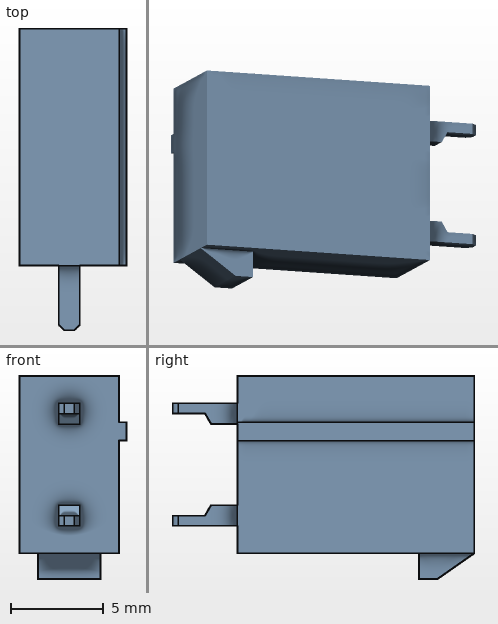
import cadquery as cq

HOUSING_WIDTH = 5.4
HOUSING_LENGTH = 12.8
HOUSING_HEIGHT = 9.6

RIB_DEPTH = 0.4
RIB_HEIGHT = 1.0
RIB_TOP_GAP = 2.5

LATCH_WIDTH = 3.4
LATCH_LENGTH = 3.0
LATCH_DROP = 1.4
LATCH_FLAT = 1.0

PIN_WIDTH = 1.15
PIN_LENGTH = 3.5
ROOT_THICKNESS = 1.13
TIP_THICKNESS = ROOT_THICKNESS / 2
ROOT_LENGTH = 1.43
STEP_LENGTH = 0.33
TIP_CHAMFER = 0.3
PIN_EDGE_INSET = 1.48


def make_housing():
    block = cq.Workplane("XY").box(
        HOUSING_WIDTH, HOUSING_LENGTH, HOUSING_HEIGHT, centered=(True, False, False)
    )
    return block.union(make_rib()).union(make_latch())


def make_rib():
    bottom = HOUSING_HEIGHT - RIB_TOP_GAP - RIB_HEIGHT
    return (
        cq.Workplane("XY")
        .box(RIB_DEPTH, HOUSING_LENGTH, RIB_HEIGHT, centered=False)
        .translate((HOUSING_WIDTH / 2, 0, bottom))
    )


def make_latch():
    front = HOUSING_LENGTH - LATCH_LENGTH
    return (
        cq.Workplane("YZ")
        .moveTo(front, 0)
        .lineTo(front, -LATCH_DROP)
        .lineTo(front + LATCH_FLAT, -LATCH_DROP)
        .lineTo(HOUSING_LENGTH, 0)
        .close()
        .extrude(LATCH_WIDTH / 2, both=True)
    )


def make_pin(outer_z, inward):
    """Pin with its straight face at outer_z; inward is the Z sign towards the other pin."""
    root_z = outer_z + inward * ROOT_THICKNESS
    tip_z = outer_z + inward * TIP_THICKNESS
    return (
        cq.Workplane("YZ")
        .moveTo(0, outer_z)
        .lineTo(-PIN_LENGTH, outer_z)
        .lineTo(-PIN_LENGTH, tip_z)
        .lineTo(-ROOT_LENGTH - STEP_LENGTH, tip_z)
        .lineTo(-ROOT_LENGTH, root_z)
        .lineTo(0, root_z)
        .close()
        .extrude(PIN_WIDTH / 2, both=True)
        .faces("<Y")
        .edges("|Z")
        .chamfer(TIP_CHAMFER)
    )


housing = make_housing()
pin_places = [(PIN_EDGE_INSET, 1), (HOUSING_HEIGHT - PIN_EDGE_INSET, -1)]
pins = [make_pin(outer_z, inward) for outer_z, inward in pin_places]

result = cq.Compound.makeCompound([housing.val(), *[pin.val() for pin in pins]])